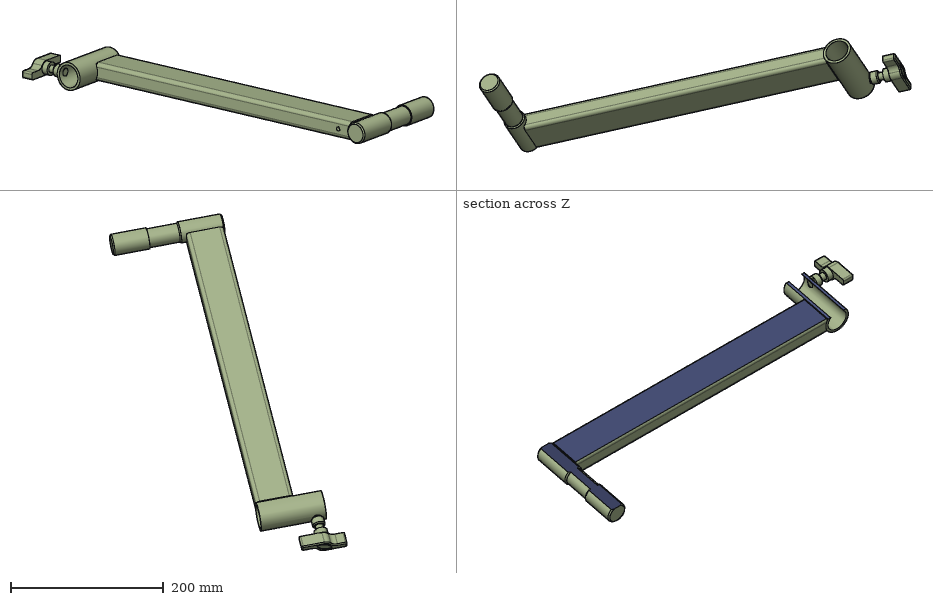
import cadquery as cq
import math

TUBE_RADIUS = 19.0
BORE_RADIUS = 15.5
TUBE_LENGTH = 87.0

ARM_WIDTH = 50.0
ARM_THICKNESS = 25.0
ARM_EDGE_RADIUS = 5.5
ARM_HOLE_RADIUS = 2.5
ARM_HOLE_DEPTH = 5.5
ARM_HOLE_TO_PIN = 30.0
ARM_START_X = 16.0
ARM_END_TO_PIN = 10.5

PIN_RADIUS = 14.5
PIN_X = 450.0
PIN_LENGTH = 149.5
PIN_OVERHANG = 1.5
PIN_CHAMFER = 1.85
PIN_SEAT_LENGTH = 60.0
GROOVE_RADIUS = 12.5
GROOVE_LENGTH = 40.5

SCREW_Y = -49.5
BOSS_RADIUS = 8.5
BOSS_CHAMFER = 1.5
BOSS_LENGTH = 11.5

KNOB_FRONT_X = -64.0
WING_DEPTH = 17.0
WING_SPAN = 61.0
HUB_RADIUS = 10.0
BLEND_ANGLE = 60
WING_CORNER_RADIUS = 2.0
WING_CHAMFER = 1.5
RECESS_LENGTH = 23.0
RECESS_WIDTH = 10.5
RECESS_DEPTH = 1.0
RECESS_TILT = 30
COLLAR_RADIUS = 9.0
COLLAR_LENGTH = 8.5
SHANK_RADIUS = 5.5

tube_end_y = ARM_WIDTH / 2
pin_start_y = -ARM_WIDTH / 2 - PIN_OVERHANG
boss_seat_x = -TUBE_RADIUS
wing_back_x = KNOB_FRONT_X + WING_DEPTH


def rod_along_x(start_x, end_x, radius):
    """Cylinder on the clamp screw axis."""
    return (
        cq.Workplane("YZ", origin=(start_x, SCREW_Y, 0))
        .circle(radius)
        .extrude(end_x - start_x)
    )


def rod_along_y(x, start_y, length, radius):
    """Cylinder parallel to Y in the plane Z = 0, growing toward +Y."""
    return (
        cq.Workplane("XZ", origin=(x, start_y, 0))
        .circle(radius)
        .extrude(-length)
    )


def make_tube():
    start_y = tube_end_y - TUBE_LENGTH
    tube = rod_along_y(0, start_y, TUBE_LENGTH, TUBE_RADIUS)
    bore = rod_along_y(0, start_y, TUBE_LENGTH, BORE_RADIUS)
    screw_hole = rod_along_x(-TUBE_RADIUS, 0, SHANK_RADIUS)
    return tube.cut(bore).cut(screw_hole)


def make_pin():
    """Round bar with a groove between the seat in the arm and the free grip."""
    grip_start_y = pin_start_y + PIN_SEAT_LENGTH + GROOVE_LENGTH
    grip_length = PIN_LENGTH - PIN_SEAT_LENGTH - GROOVE_LENGTH
    seat = rod_along_y(PIN_X, pin_start_y, PIN_SEAT_LENGTH, PIN_RADIUS)
    seat = seat.faces("<Y or >Y").chamfer(PIN_CHAMFER)
    groove_core = rod_along_y(PIN_X, pin_start_y + PIN_SEAT_LENGTH, GROOVE_LENGTH, GROOVE_RADIUS)
    grip = rod_along_y(PIN_X, grip_start_y, grip_length, PIN_RADIUS)
    grip = grip.faces(">Y").chamfer(PIN_CHAMFER)
    return seat.union(groove_core).union(grip)


def make_arm():
    """Bar with rounded long edges, square at both ends and hollowed there to fit the tube and the pin."""
    arm = (
        cq.Workplane("YZ", origin=(ARM_START_X, 0, 0))
        .rect(ARM_WIDTH, ARM_THICKNESS)
        .extrude(PIN_X - ARM_END_TO_PIN - ARM_START_X)
        .edges("|X")
        .fillet(ARM_EDGE_RADIUS)
    )
    for x, radius in ((0, TUBE_RADIUS), (PIN_X, PIN_RADIUS)):
        arm = arm.cut(rod_along_y(x, -ARM_WIDTH, 2 * ARM_WIDTH, radius))
    hole = rod_along_y(PIN_X - ARM_HOLE_TO_PIN, -ARM_WIDTH / 2, ARM_HOLE_DEPTH, ARM_HOLE_RADIUS)
    return arm.cut(hole)


def make_boss():
    boss = rod_along_x(boss_seat_x - BOSS_LENGTH, boss_seat_x, BOSS_RADIUS)
    boss = boss.faces("<X or >X").chamfer(BOSS_CHAMFER)
    neck = rod_along_x(boss_seat_x - BOSS_LENGTH, -BORE_RADIUS, BOSS_RADIUS - BOSS_CHAMFER)
    tube_envelope = rod_along_y(0, SCREW_Y - TUBE_RADIUS, 2 * TUBE_RADIUS, TUBE_RADIUS)
    screw_hole = rod_along_x(boss_seat_x - BOSS_LENGTH, 0, SHANK_RADIUS)
    return boss.union(neck).cut(tube_envelope).cut(screw_hole)


def wing_outline():
    """S-shaped outline: a round hub blending into two wings on opposite sides of the axis."""
    half_span = WING_SPAN / 2

    def on_hub(angle):
        a = math.radians(angle)
        return (-HUB_RADIUS * math.sin(a), HUB_RADIUS * math.cos(a))

    blend = math.radians(BLEND_ANGLE)
    blend_centre = (-2 * HUB_RADIUS * math.sin(blend), 2 * HUB_RADIUS * math.cos(blend))

    def on_blend(angle):
        a = math.radians(angle)
        return (
            blend_centre[0] + HUB_RADIUS * math.sin(a),
            blend_centre[1] - HUB_RADIUS * math.cos(a),
        )

    def opposite(point):
        return (-point[0], -point[1])

    wing_root = on_blend(0)
    outline = cq.Workplane("YZ", origin=(KNOB_FRONT_X, SCREW_Y, 0)).moveTo(half_span, HUB_RADIUS)
    for turn in (lambda point: point, opposite):
        outline = (
            outline.lineTo(*turn((0, HUB_RADIUS)))
            .threePointArc(turn(on_hub(BLEND_ANGLE / 2)), turn(on_hub(BLEND_ANGLE)))
            .threePointArc(turn(on_blend(BLEND_ANGLE / 2)), turn(wing_root))
            .lineTo(*turn((-half_span, wing_root[1])))
            .lineTo(*turn((-half_span, -HUB_RADIUS)))
        )
    return outline.close()


def make_recess():
    """Shallow lens-shaped recess, set diagonally in the front of the hub."""
    return (
        cq.Workplane("YZ", origin=(KNOB_FRONT_X, SCREW_Y, 0))
        .transformed(rotate=(0, 0, RECESS_TILT))
        .moveTo(-RECESS_LENGTH / 2, 0)
        .threePointArc((0, RECESS_WIDTH / 2), (RECESS_LENGTH / 2, 0))
        .threePointArc((0, -RECESS_WIDTH / 2), (-RECESS_LENGTH / 2, 0))
        .close()
        .extrude(RECESS_DEPTH)
    )


def make_knob():
    wing = wing_outline().extrude(WING_DEPTH)
    tips = wing.faces("<Y or >Y").edges("|X")
    wing = tips.fillet(WING_CORNER_RADIUS)
    wing = wing.faces("<X").chamfer(WING_CHAMFER)
    collar = rod_along_x(wing_back_x, wing_back_x + COLLAR_LENGTH, COLLAR_RADIUS)
    shank = rod_along_x(wing_back_x, -BORE_RADIUS, SHANK_RADIUS)
    return wing.cut(make_recess()).union(collar).union(shank)


tube = make_tube()
arm = make_arm()
pin = make_pin()
boss = make_boss()
knob = make_knob()

result = cq.Compound.makeCompound([tube.val(), arm.val(), pin.val(), boss.val(), knob.val()])